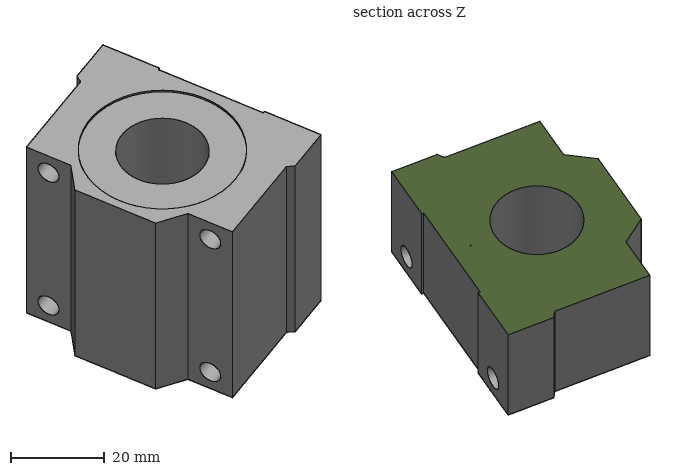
import cadquery as cq

width = 54.0
depth = 41.0
height = 50.0

mount_face_y = 21.0
relief_width = 26.0
relief_depth = 0.5
flange_depth = 11.0
flange_taper_depth = 1.0
body_width = 51.0
body_depth = 35.0
nose_base_width = 28.95
nose_tip_width = 20.0

bore_diameter = 20.0
bearing_diameter = 35.95
bearing_recess = 0.5

hole_diameter = 5.2
hole_spacing = 40.0

relief_y = mount_face_y - relief_depth
flange_end_y = mount_face_y - flange_depth
taper_end_y = flange_end_y - flange_taper_depth
body_front_y = mount_face_y - body_depth
nose_tip_y = mount_face_y - depth


def make_housing():
    """Symmetric block: wide mounting flange at the back, tapered nose at the front."""
    right_half = [
        (relief_width / 2, relief_y),
        (relief_width / 2, mount_face_y),
        (width / 2, mount_face_y),
        (width / 2, flange_end_y),
        (body_width / 2, taper_end_y),
        (body_width / 2, body_front_y),
        (nose_base_width / 2, body_front_y),
        (nose_tip_width / 2, nose_tip_y),
    ]
    left_half = [(-x, y) for x, y in reversed(right_half)]
    return cq.Workplane("XY").polyline(right_half + left_half).close().extrude(height)


def bearing_recess_cut(bottom_z):
    """Shallow disc that sets the bearing end below the end face of the housing."""
    return cq.Workplane("XY", origin=(0, 0, bottom_z)).circle(bearing_diameter / 2).extrude(bearing_recess)


def bore_cut():
    return cq.Workplane("XY").circle(bore_diameter / 2).extrude(height)


def mounting_holes_cut():
    """Four holes through the block along Y, centred on the block height."""
    return (
        cq.Workplane("XZ", origin=(0, mount_face_y, height / 2))
        .rarray(hole_spacing, hole_spacing, 2, 2)
        .circle(hole_diameter / 2)
        .extrude(depth)
    )


result = make_housing()
for recess_bottom_z in (0, height - bearing_recess):
    result = result.cut(bearing_recess_cut(recess_bottom_z))
result = result.cut(bore_cut()).cut(mounting_holes_cut())